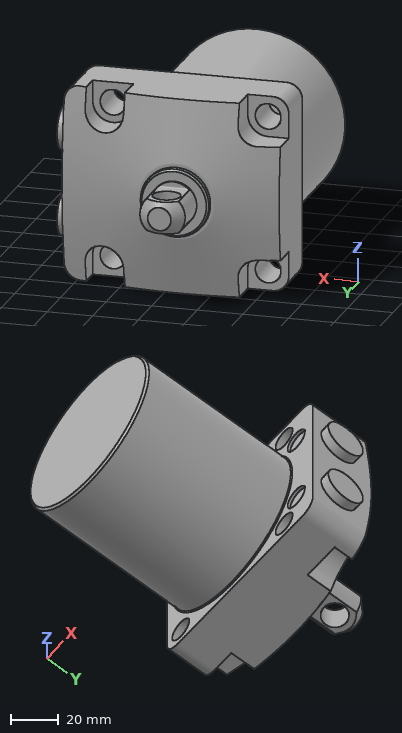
import cadquery as cq
import math


OVERLAP = 1.5

FLANGE_LEFT = 43.0
FLANGE_RIGHT = 53.0
FLANGE_HEIGHT = 86.0
CORNER_RADIUS = 7.0

CAP_TOP_Y = 41.8
CAP_TOP_RADIUS = 16.6
CAP_SLOPE = math.radians(15)

BARREL_RADIUS = 39.0
BARREL_LENGTH = 79.0
BARREL_CHAMFER = 1.0
BARREL_ROOT_BEVEL = 0.51

COLLAR_RADIUS = 15.0
COLLAR_FRONT_Y = 45.0
COLLAR_CHAMFER = 0.9

MOUNT_SPACING = 68.0
MOUNT_DIAMETER = 11.2
RECESS_RADIUS = 8.9
RECESS_FLOOR_Y = 20.3

SEAL_DIAMETER = 11.4
SEAL_DEPTH = 1.5
SEAL_X = 42.0
SEAL_Z = 22.6

PLUG_RADIUS = 9.5
PLUG_LENGTH = 4.7
PLUG_Y = 14.0
PLUG_Z = 19.0

ROD_RADIUS = 10.0
ROD_TIP_Y = 67.0
ROD_TIP_CHAMFER = 4.8
ROD_FLAT_THICKNESS = 14.0
ROD_SHOULDER = 0.9
ROD_FLAT_FILLET = 0.9
ROD_EYE_DIAMETER = 12.0
ROD_EYE_FROM_TIP = 11.0


def xz_plane(y):
    """Plane at height y with local axes X and Z; extruding goes to -Y."""
    return cq.Workplane("XZ", origin=(0, y, 0))


def turned(profile):
    """Solid turned about the Y axis from a list of (radius, y) points."""
    return cq.Workplane("XY").polyline(profile).close().revolve(360, (0, 0, 0), (0, 1, 0))


def make_capped_flange():
    """Rounded block whose front is trimmed by a cone with a flat top."""
    width = FLANGE_LEFT + FLANGE_RIGHT
    block = (
        xz_plane(CAP_TOP_Y)
        .center((FLANGE_RIGHT - FLANGE_LEFT) / 2, 0)
        .rect(width, FLANGE_HEIGHT)
        .extrude(CAP_TOP_Y)
        .edges("|Y")
        .fillet(CORNER_RADIUS)
    )
    rim_radius = math.hypot(FLANGE_RIGHT, FLANGE_HEIGHT / 2)
    rim_y = CAP_TOP_Y - (rim_radius - CAP_TOP_RADIUS) * math.tan(CAP_SLOPE)
    cone = turned([
        (0, 0),
        (rim_radius, 0),
        (rim_radius, rim_y),
        (CAP_TOP_RADIUS, CAP_TOP_Y),
        (0, CAP_TOP_Y),
    ])
    return block.intersect(cone)


def make_barrel():
    """Round barrel with a chamfered end and a small bevel at its root."""
    root_radius = BARREL_RADIUS + BARREL_ROOT_BEVEL
    return turned([
        (0, OVERLAP),
        (root_radius, OVERLAP),
        (root_radius, 0),
        (BARREL_RADIUS, -BARREL_ROOT_BEVEL),
        (BARREL_RADIUS, BARREL_CHAMFER - BARREL_LENGTH),
        (BARREL_RADIUS - BARREL_CHAMFER, -BARREL_LENGTH),
        (0, -BARREL_LENGTH),
    ])


def make_collar():
    return (
        xz_plane(COLLAR_FRONT_Y)
        .circle(COLLAR_RADIUS)
        .extrude(COLLAR_FRONT_Y - CAP_TOP_Y + OVERLAP)
        .faces(">Y")
        .chamfer(COLLAR_CHAMFER)
    )


def recess_cutter(hole_x, hole_z, opens_to_side):
    """Screw-head recess: a round end opening to the near Z side and, if wanted, to the -X side."""
    depth = CAP_TOP_Y - RECESS_FLOOR_Y
    reach = FLANGE_HEIGHT / 2 - abs(hole_z) + OVERLAP
    outward_z = math.copysign(reach, hole_z)
    top = xz_plane(CAP_TOP_Y)
    cutter = top.center(hole_x, hole_z).circle(RECESS_RADIUS).extrude(depth)
    slot = top.center(hole_x, hole_z + outward_z / 2).rect(2 * RECESS_RADIUS, reach).extrude(depth)
    cutter = cutter.union(slot)
    if opens_to_side:
        outer_x = -FLANGE_LEFT - OVERLAP
        inner_z = hole_z - math.copysign(RECESS_RADIUS, hole_z)
        outer_z = hole_z + outward_z
        side = (
            top.center((outer_x + hole_x) / 2, (inner_z + outer_z) / 2)
            .rect(hole_x - outer_x, abs(outer_z - inner_z))
            .extrude(depth)
        )
        cutter = cutter.union(side)
    return cutter


def make_housing():
    housing = make_capped_flange().union(make_barrel()).union(make_collar())

    for hole_x in (-MOUNT_SPACING / 2, MOUNT_SPACING / 2):
        for hole_z in (-MOUNT_SPACING / 2, MOUNT_SPACING / 2):
            hole = xz_plane(CAP_TOP_Y).center(hole_x, hole_z).circle(MOUNT_DIAMETER / 2).extrude(CAP_TOP_Y)
            recess = recess_cutter(hole_x, hole_z, opens_to_side=hole_x < 0)
            housing = housing.cut(hole).cut(recess)

    seal_pockets = (
        xz_plane(SEAL_DEPTH)
        .pushPoints([(SEAL_X, -SEAL_Z), (SEAL_X, SEAL_Z)])
        .circle(SEAL_DIAMETER / 2)
        .extrude(SEAL_DEPTH)
    )
    return housing.cut(seal_pockets)


def make_rod():
    """Chamfered rod end with two flats across Z and a cross eye, standing on the collar."""
    rod = (
        xz_plane(ROD_TIP_Y)
        .circle(ROD_RADIUS)
        .extrude(ROD_TIP_Y - COLLAR_FRONT_Y)
        .faces(">Y")
        .chamfer(ROD_TIP_CHAMFER)
    )
    flats_y = COLLAR_FRONT_Y + ROD_SHOULDER
    flats_length = ROD_TIP_Y - flats_y
    side_depth = ROD_RADIUS
    for side in (-1, 1):
        side_cut = (
            xz_plane(ROD_TIP_Y)
            .center(0, side * (ROD_FLAT_THICKNESS + side_depth) / 2)
            .rect(2 * ROD_RADIUS, side_depth)
            .extrude(flats_length)
            .faces("<Z" if side > 0 else ">Z")
            .edges("<Y")
            .fillet(ROD_FLAT_FILLET)
        )
        rod = rod.cut(side_cut)

    eye = (
        cq.Workplane("XY")
        .center(0, ROD_TIP_Y - ROD_EYE_FROM_TIP)
        .circle(ROD_EYE_DIAMETER / 2)
        .extrude(ROD_RADIUS, both=True)
    )
    return rod.cut(eye)


def make_port_plug(z):
    """Round plug standing on the +X side of the flange."""
    return (
        cq.Workplane("YZ", origin=(FLANGE_RIGHT, PLUG_Y, z))
        .circle(PLUG_RADIUS)
        .extrude(PLUG_LENGTH)
    )


housing = make_housing()
rod = make_rod()
port_plugs = [make_port_plug(z) for z in (-PLUG_Z, PLUG_Z)]

result = cq.Compound.makeCompound([housing.val(), rod.val(), *[plug.val() for plug in port_plugs]])